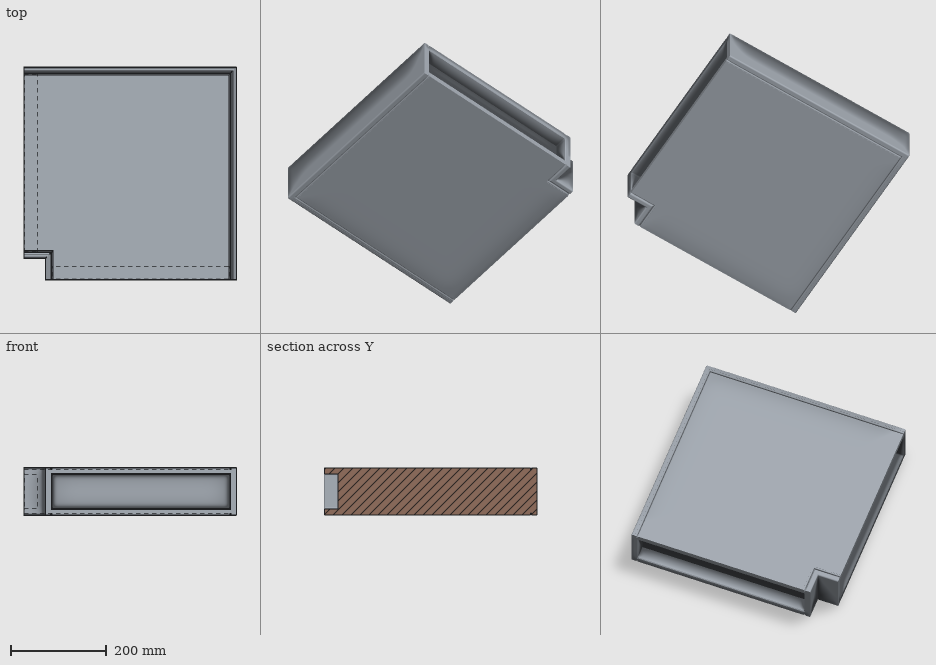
import cadquery as cq

length = 445.0
height = 100.0
notch = 45.0
edge_round = 3.0

wall = 12.5
pocket_depth = 28.5
pocket_corner = 2.5
mouth_chamfer = 2.0

rebate_start = 8.0
slot_start = 12.0
slot_end = 13.5
rebate_end = 16.5
slot_depth = 4.5
rebate_depth = 0.5
lip_round = 2.0

top = height / 2
arc_ratio = 1 - 0.5 ** 0.5


def make_body():
    """L-shaped block with rounded outside corner and rounded wall edges, centred on Z = 0."""
    block = cq.Workplane("XY").box(length, length, height, centered=(False, False, True))
    block = block.edges("|Z and >X and >Y").fillet(edge_round)
    block = block.cut(cq.Workplane("XY").box(2 * notch, 2 * notch, 2 * height))
    reach = notch + edge_round
    around_notch = cq.selectors.BoxSelector((0, 0, -height), (reach, reach, height))
    for side in (">Z", "<Z"):
        face = block.faces(side)
        wall_edges = face.edges(">X or >Y or %CIRCLE").vals() + face.edges(around_notch).vals()
        block = block.newObject(wall_edges).fillet(edge_round)
    return block


def sweep_along_wall(profile, wall_face):
    """Carry a section along the X and Y runs of a wall, mitred where they meet."""
    path = (
        cq.Workplane("XY")
        .moveTo(wall_face, 0)
        .lineTo(wall_face, wall_face)
        .lineTo(0, wall_face)
    )
    return profile.sweep(path, transition="right")


def make_groove(wall_face, inward, wide_round):
    """Slot with rounded lips; its wall side is one wide round or a shallow rebate."""

    def point(offset, depth):
        return (wall_face + inward * offset, top - depth)

    profile = cq.Workplane("XZ").moveTo(*point(rebate_start, 0))
    if wide_round:
        ridge_round = slot_start - rebate_start
        ridge_top = 0
    else:
        ridge_round = lip_round
        ridge_top = rebate_depth
        profile = profile.lineTo(*point(rebate_start, ridge_top))
        profile = profile.lineTo(*point(slot_start - ridge_round, ridge_top))
    profile = (
        profile.threePointArc(
            point(slot_start - ridge_round * arc_ratio, ridge_top + ridge_round * arc_ratio),
            point(slot_start, ridge_top + ridge_round),
        )
        .lineTo(*point(slot_start, slot_depth))
        .lineTo(*point(slot_end, slot_depth))
        .lineTo(*point(slot_end, rebate_depth + lip_round))
        .threePointArc(
            point(slot_end + lip_round * arc_ratio, rebate_depth + lip_round * arc_ratio),
            point(slot_end + lip_round, rebate_depth),
        )
        .lineTo(*point(rebate_end, rebate_depth))
        .lineTo(*point(rebate_end, 0))
        .close()
    )
    return sweep_along_wall(profile, wall_face)


def make_pocket():
    """Blind opening entering from the -Y end, with rounded corners and a chamfered mouth."""
    mouth_width = length - notch - 2 * wall
    mouth_height = height - 2 * wall
    mouth_centre = notch + wall + mouth_width / 2
    mouth = cq.Workplane("XZ", origin=(mouth_centre, 0, 0)).rect(mouth_width, mouth_height)
    flare = mouth.extrude(-mouth_chamfer, taper=45)
    chamber = (
        cq.Workplane("XY")
        .box(
            mouth_width - 2 * mouth_chamfer,
            pocket_depth,
            mouth_height - 2 * mouth_chamfer,
            centered=(True, False, True),
        )
        .edges("|Y")
        .fillet(pocket_corner)
        .translate((mouth_centre, 0, 0))
    )
    return chamber.union(flare)


result = make_body()

outer_groove = make_groove(length, -1, wide_round=False)
notch_groove = make_groove(notch, 1, wide_round=True)
for groove in (outer_groove, notch_groove):
    result = result.cut(groove).cut(groove.mirror("XY"))

pocket = make_pocket()
twin_pocket = pocket.mirror("YZ").rotate((0, 0, 0), (0, 0, 1), -90)
result = result.cut(pocket).cut(twin_pocket)